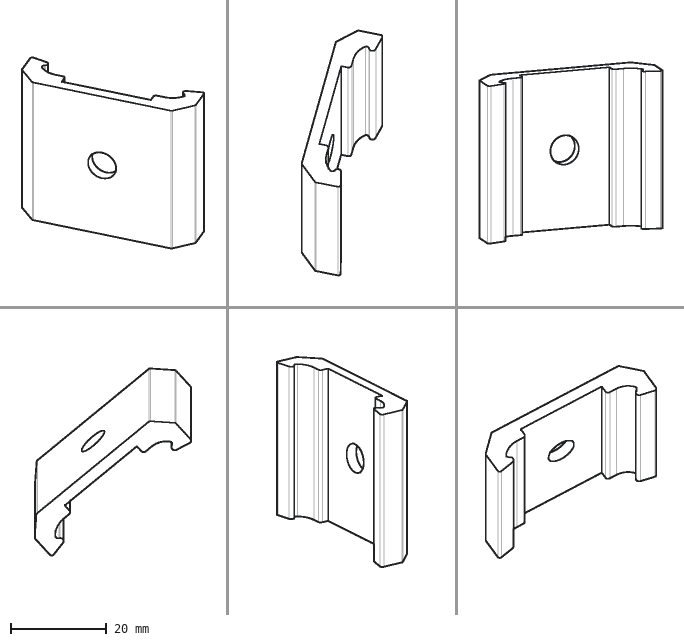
import cadquery as cq
import math

width = 39.0
depth = 9.2
height = 34.0
hole_diameter = 6.3

plate_thickness = 2.5
step_height = 4.55
channel_width = 19.97
chamfer_size = 3.85

lip_top_angle = math.radians(12)
lip_under_angle = math.radians(30)
groove_radius = 4.7
groove_center_inset = 7.2
notch_height = 6.8

chamfer_corner_radius = 0.4
lip_outer_radius = 0.5
lip_tip_radius = 0.7
notch_radius = 0.6
step_radius = 0.62

outer_x = -width / 2
channel_x = -channel_width / 2
groove_x = outer_x + groove_center_inset
groove_y = step_height + groove_radius

lip_slope = math.tan(lip_top_angle)
lip_corner_y = (
    depth + lip_outer_radius * (lip_slope + 1 / math.cos(lip_top_angle) - 1)
)


def on_groove(y):
    """Point on the outer side of the groove circle at a given depth."""
    return groove_x - math.sqrt(groove_radius**2 - (groove_y - y) ** 2), y


back_corner = (outer_x + chamfer_size, 0)
side_corner = (outer_x, chamfer_size)
lip_corner = (outer_x, lip_corner_y)
notch = on_groove(notch_height)
groove_middle = on_groove((notch_height + step_height) / 2)
step_corner = (channel_x, step_height)

under_slope = math.tan(lip_under_angle)
tip_run = (lip_corner_y - notch_height + under_slope * (notch[0] - outer_x)) / (under_slope + lip_slope)
lip_tip = (outer_x + tip_run, lip_corner_y - lip_slope * tip_run)


def round_corner(body, corner, radius):
    """Round the edge along Z that passes through a section corner."""
    edge = cq.selectors.NearestToPointSelector((*corner, height / 2))
    return body.edges("|Z").edges(edge).fillet(radius)


def make_half():
    half = (
        cq.Workplane("XY")
        .moveTo(0, 0)
        .lineTo(*back_corner)
        .lineTo(*side_corner)
        .lineTo(*lip_corner)
        .lineTo(*lip_tip)
        .lineTo(*notch)
        .threePointArc(groove_middle, (groove_x, step_height))
        .lineTo(*step_corner)
        .lineTo(channel_x, plate_thickness)
        .lineTo(0, plate_thickness)
        .close()
        .extrude(height)
    )
    for corner, radius in (
        (back_corner, chamfer_corner_radius),
        (side_corner, chamfer_corner_radius),
        (lip_corner, lip_outer_radius),
        (lip_tip, lip_tip_radius),
        (notch, notch_radius),
        (step_corner, step_radius),
    ):
        half = round_corner(half, corner, radius)
    return half


left_half = make_half()
body = left_half.union(left_half.mirror("YZ"))

hole = (
    cq.Workplane("XZ")
    .center(0, height / 2)
    .circle(hole_diameter / 2)
    .extrude(-plate_thickness)
)

result = body.cut(hole).translate((0, -depth / 2, -height / 2))